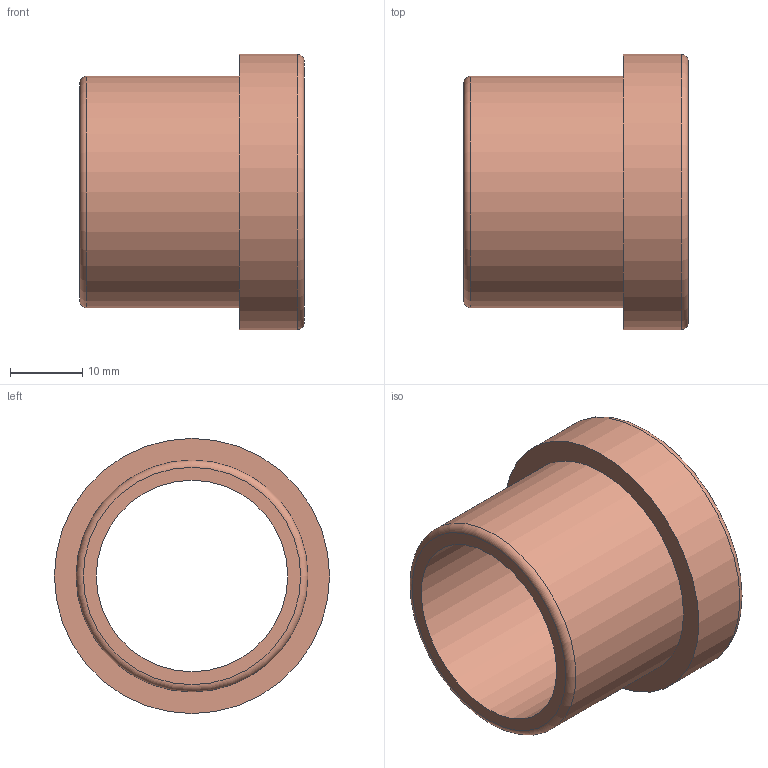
import cadquery as cq

sleeve_diameter = 32.0
flange_diameter = 38.0
bore_diameter = 26.44
total_length = 31.0
flange_thickness = 9.0
edge_radius = 1.0

sleeve_length = total_length - flange_thickness


def cylinder_along_x(diameter, length, start_x=0.0):
    """Solid cylinder centred on the X axis, running toward +X from start_x."""
    return cq.Workplane("YZ", origin=(start_x, 0, 0)).circle(diameter / 2).extrude(length)


def make_sleeve():
    """Sleeve with its free outer edge rounded."""
    return cylinder_along_x(sleeve_diameter, sleeve_length).faces("<X").edges().fillet(edge_radius)


def make_flange():
    """Head flange with its outer end edge rounded."""
    flange = cylinder_along_x(flange_diameter, flange_thickness, sleeve_length)
    return flange.faces(">X").edges().fillet(edge_radius)


bore = cylinder_along_x(bore_diameter, total_length)
result = make_sleeve().union(make_flange()).cut(bore)